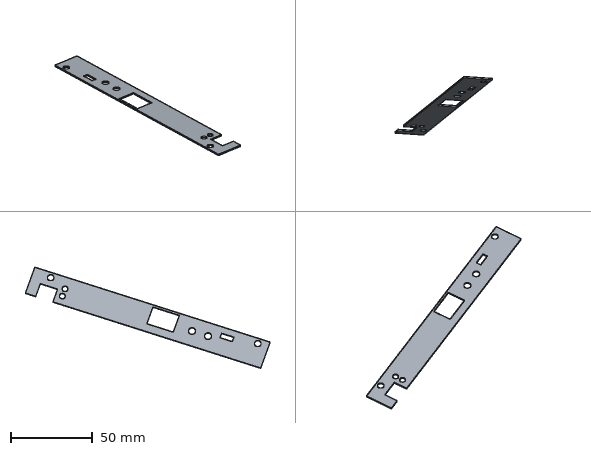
import cadquery as cq

length = 152.0
width = 18.0
thickness = 1.0

mounting_centres = [(6.8, 3.3), (140.6, 3.3)]
mounting_diameter = 4.0
jack_centres = [(37.2, 8.5), (47.5, 8.5)]
jack_diameter = 4.3
indicator_centres = [(130.0, 7.5), (130.0, 12.5)]
indicator_diameter = 3.5

display_corner = (58.2, 1.4)
display_size = (17.0, 11.5)
slot_corner = (22.0, 4.1)
slot_size = (7.9, 3.0)

notch_left = 134.2
notch_width = 11.1
notch_depth = 8.8


def block(corner, size):
    """Full-thickness rectangular block standing on z = 0."""
    return cq.Workplane("XY").box(*size, thickness, centered=False).translate((*corner, 0))


def drill(plate, centres, diameter):
    """Cut a group of equal through holes."""
    pins = cq.Workplane("XY").pushPoints(centres).circle(diameter / 2).extrude(thickness)
    return plate.cut(pins)


result = block((0, 0), (length, width))

for centres, diameter in (
    (mounting_centres, mounting_diameter),
    (jack_centres, jack_diameter),
    (indicator_centres, indicator_diameter),
):
    result = drill(result, centres, diameter)

for corner, size in (
    (display_corner, display_size),
    (slot_corner, slot_size),
    ((notch_left, width - notch_depth), (notch_width, notch_depth)),
):
    result = result.cut(block(corner, size))